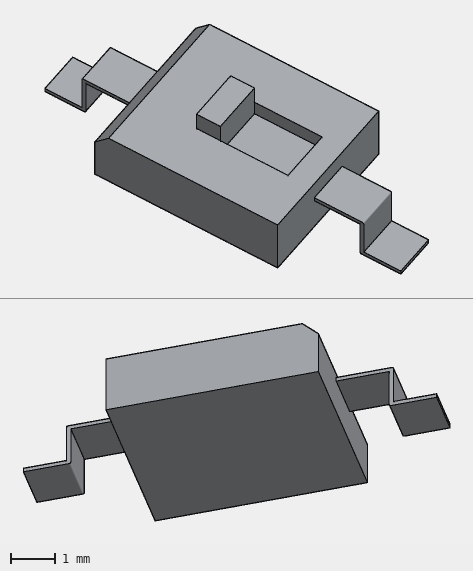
import cadquery as cq

overall_length = 9.73
overall_height = 2.1

housing_length = 5.0
housing_width = 4.1
housing_height = 1.5
housing_chamfer = 0.38

lead_thickness = 0.11
lead_width = 1.13
foot_length = 1.01
lead_top = 1.12
bend_radius = 0.05

slot_length = 2.5
slot_width = 1.38
slot_depth = 0.4
slot_start_x = -0.63
slider_length = 0.65
slider_rise = 0.5

housing_bottom = overall_height - slider_rise - housing_height
housing_top = housing_bottom + housing_height
slot_floor = housing_top - slot_depth


def block(length, width, height, start_x, bottom):
    """Box starting at start_x, centred on Y and standing on the height bottom."""
    box = cq.Workplane("XY").box(length, width, height, centered=(False, True, False))
    return box.translate((start_x, 0, bottom))


def make_housing():
    """Block with one chamfered top edge and a blind slot for the slider."""
    body = block(housing_length, housing_width, housing_height, -housing_length / 2, housing_bottom)
    body = body.edges("<X and >Z").chamfer(housing_chamfer)
    slot = block(slot_length, slot_width, slot_depth, slot_start_x, slot_floor)
    return body.cut(slot)


def make_slider():
    """Block at the -X end of the slot, rising from the slot floor above the housing."""
    return block(slider_length, slot_width, overall_height - slot_floor, slot_start_x, slot_floor)


def make_lead():
    """Z-shaped strip on the -X side, butted against the housing end face."""
    tip_x = -overall_length / 2
    riser_outer_x = tip_x + foot_length
    riser_inner_x = riser_outer_x + lead_thickness
    root_x = -housing_length / 2
    profile = [
        (tip_x, 0),
        (riser_inner_x, 0),
        (riser_inner_x, lead_top - lead_thickness),
        (root_x, lead_top - lead_thickness),
        (root_x, lead_top),
        (riser_outer_x, lead_top),
        (riser_outer_x, lead_thickness),
        (tip_x, lead_thickness),
    ]
    strip = cq.Workplane("XZ").polyline(profile).close().extrude(lead_width / 2, both=True)
    upper_bend = cq.NearestToPointSelector((riser_outer_x, 0, lead_top))
    lower_bend = cq.NearestToPointSelector((riser_inner_x, 0, 0))
    strip = strip.edges("|Y").edges(upper_bend).fillet(bend_radius)
    return strip.edges("|Y").edges(lower_bend).fillet(bend_radius)


housing = make_housing()
slider = make_slider()
leads = [make_lead().rotate((0, 0, 0), (0, 0, 1), angle).val() for angle in (0, 180)]

result = cq.Compound.makeCompound([housing.val(), slider.val(), *leads])